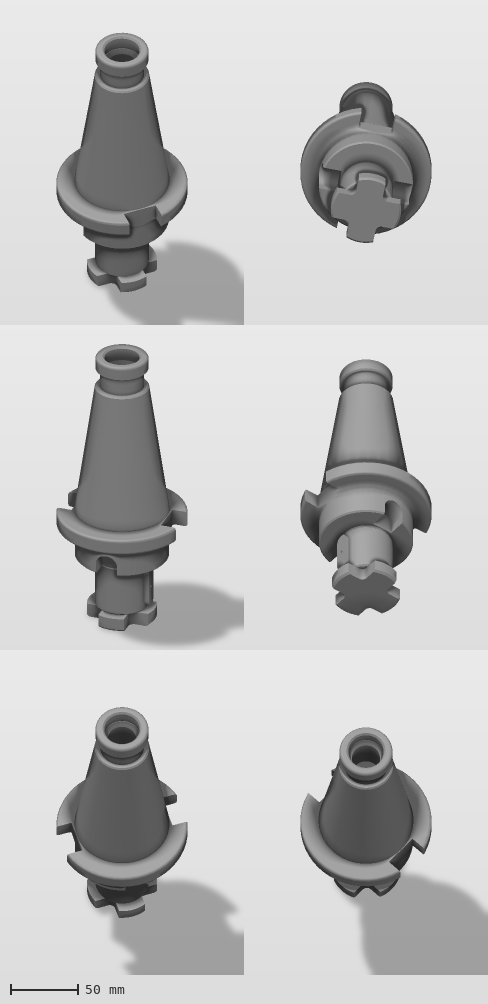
import cadquery as cq

TOTAL_HEIGHT = 218.8
SCREW_HEAD_TOP = 10.5
SPIGOT_TOP = 48.8
COLLAR_BOTTOM = 51.2
FLANGE_BOTTOM = 76.8
FLANGE_TOP = 88.8
TAPER_TOP = 194.0
NECK_TOP = 207.6

FLANGE_DIAMETER = 97.4
SPIGOT_RADIUS = 20.0
RELIEF_RADIUS = 19.3
COLLAR_RADIUS = 35.0
FLANGE_RADIUS = FLANGE_DIAMETER / 2
TAPER_BASE_RADIUS = 35.2
TAPER_GROOVE_RADIUS = 34.1
TAPER_GROOVE_HEIGHT = 0.9
TAPER_RIM_HEIGHT = 0.7
NECK_RADIUS = 16.5
HEAD_RADIUS = 19.7
TAPER_BOTTOM = FLANGE_TOP + TAPER_GROOVE_HEIGHT + TAPER_RIM_HEIGHT
TAPER_SLOPE = 3.5 / 24

FLANGE_FILLET = 2.0
COLLAR_FILLET = 5.5
COLLAR_CHAMFER = 1.0
SPIGOT_CHAMFER = 1.0
TAPER_CHAMFER = 1.0
HEAD_TOP_FILLET = 2.2
HEAD_BOTTOM_CHAMFER = 1.0
NECK_FILLET = 0.9

SOCKET_RADIUS = 13.1
SOCKET_DEPTH = 11.2
SOCKET_GROOVE_RADIUS = 13.8
SOCKET_GROOVE_HEIGHT = 1.3
SOCKET_CHAMFER = 1.3
THREAD_BORE_RADIUS = 10.5
SOCKET_CONE_HEIGHT = 3.0
THREAD_BORE_DEPTH = 43.8

FLANGE_SLOT_WIDTH = 25.5
FLANGE_SLOT_CLEARANCE = 0.2
COLLAR_SLOT_WIDTH = 16.6
COLLAR_SLOT_HEIGHT = 16.2

KEY_WIDTH = 10.3
KEY_LENGTH = 32.5
KEY_BOTTOM = 13.0
KEY_OUTER_X = -23.0
KEY_HOLE_DIAMETER = 2.5

SCREW_RADIUS = 26.0
SCREW_ARM_WIDTH = 20.1
SCREW_CORNER_FILLET = 4.2
SCREW_CHAMFER = 1.5


def taper_radius(height):
    return TAPER_BASE_RADIUS - TAPER_SLOPE * (height - TAPER_BOTTOM)


def turned_body():
    taper_edge = TAPER_TOP - TAPER_CHAMFER
    taper_edge_radius = taper_radius(taper_edge)
    outline = (
        cq.Workplane("XZ")
        .moveTo(0, SCREW_HEAD_TOP)
        .lineTo(SPIGOT_RADIUS - SPIGOT_CHAMFER, SCREW_HEAD_TOP)
        .lineTo(SPIGOT_RADIUS, SCREW_HEAD_TOP + SPIGOT_CHAMFER)
        .lineTo(SPIGOT_RADIUS, SPIGOT_TOP)
        .lineTo(RELIEF_RADIUS, SPIGOT_TOP + SPIGOT_RADIUS - RELIEF_RADIUS)
        .lineTo(RELIEF_RADIUS, COLLAR_BOTTOM)
        .lineTo(COLLAR_RADIUS - COLLAR_CHAMFER, COLLAR_BOTTOM)
        .lineTo(COLLAR_RADIUS, COLLAR_BOTTOM + COLLAR_CHAMFER)
        .lineTo(COLLAR_RADIUS, FLANGE_BOTTOM - COLLAR_FILLET)
        .tangentArcPoint((COLLAR_FILLET, COLLAR_FILLET))
        .lineTo(FLANGE_RADIUS - FLANGE_FILLET, FLANGE_BOTTOM)
        .tangentArcPoint((FLANGE_FILLET, FLANGE_FILLET))
        .lineTo(FLANGE_RADIUS, FLANGE_TOP - FLANGE_FILLET)
        .tangentArcPoint((-FLANGE_FILLET, FLANGE_FILLET))
        .lineTo(TAPER_GROOVE_RADIUS, FLANGE_TOP)
        .lineTo(TAPER_GROOVE_RADIUS, FLANGE_TOP + TAPER_GROOVE_HEIGHT)
        .lineTo(TAPER_BASE_RADIUS, FLANGE_TOP + TAPER_GROOVE_HEIGHT)
        .lineTo(TAPER_BASE_RADIUS, TAPER_BOTTOM)
        .lineTo(taper_edge_radius, taper_edge)
        .lineTo(taper_edge_radius - TAPER_CHAMFER, TAPER_TOP)
        .lineTo(NECK_RADIUS, TAPER_TOP)
        .lineTo(NECK_RADIUS, NECK_TOP - NECK_FILLET)
        .tangentArcPoint((NECK_FILLET, NECK_FILLET))
        .lineTo(HEAD_RADIUS - HEAD_BOTTOM_CHAMFER, NECK_TOP)
        .lineTo(HEAD_RADIUS, NECK_TOP + HEAD_BOTTOM_CHAMFER)
        .lineTo(HEAD_RADIUS, TOTAL_HEIGHT - HEAD_TOP_FILLET)
        .tangentArcPoint((-HEAD_TOP_FILLET, HEAD_TOP_FILLET))
        .lineTo(0, TOTAL_HEIGHT)
        .close()
    )
    return outline.revolve(360, (0, 0, 0), (0, 1, 0))


def draw_bar_socket():
    socket_floor = TOTAL_HEIGHT - SOCKET_DEPTH
    outline = (
        cq.Workplane("XZ")
        .moveTo(0, TOTAL_HEIGHT)
        .lineTo(SOCKET_RADIUS + SOCKET_CHAMFER, TOTAL_HEIGHT)
        .lineTo(SOCKET_RADIUS, TOTAL_HEIGHT - SOCKET_CHAMFER)
        .lineTo(SOCKET_RADIUS, socket_floor + SOCKET_GROOVE_HEIGHT)
        .lineTo(SOCKET_GROOVE_RADIUS, socket_floor + SOCKET_GROOVE_HEIGHT)
        .lineTo(SOCKET_GROOVE_RADIUS, socket_floor)
        .lineTo(SOCKET_RADIUS, socket_floor)
        .lineTo(THREAD_BORE_RADIUS, socket_floor - SOCKET_CONE_HEIGHT)
        .lineTo(THREAD_BORE_RADIUS, TOTAL_HEIGHT - THREAD_BORE_DEPTH)
        .lineTo(0, TOTAL_HEIGHT - THREAD_BORE_DEPTH)
        .close()
    )
    return outline.revolve(360, (0, 0, 0), (0, 1, 0))


def flange_slot(side):
    """Drive slot through the flange, its floor just clear of the collar; side is -1 or 1 along X."""
    floor_x = COLLAR_RADIUS + FLANGE_SLOT_CLEARANCE
    depth = FLANGE_RADIUS - floor_x
    height = FLANGE_TOP - FLANGE_BOTTOM + COLLAR_FILLET
    return (
        cq.Workplane("XY")
        .box(depth, FLANGE_SLOT_WIDTH, height, centered=(True, True, False))
        .translate((side * (floor_x + depth / 2), 0, FLANGE_BOTTOM - COLLAR_FILLET))
    )


def collar_slot(side):
    """Round-topped slot in the collar, its floor tangent to the spigot; side is -1 or 1 along Y."""
    half_width = COLLAR_SLOT_WIDTH / 2
    arch_start = COLLAR_BOTTOM + COLLAR_SLOT_HEIGHT - half_width
    return (
        cq.Workplane("XZ", origin=(0, side * SPIGOT_RADIUS, 0))
        .moveTo(-half_width, COLLAR_BOTTOM)
        .lineTo(half_width, COLLAR_BOTTOM)
        .lineTo(half_width, arch_start)
        .threePointArc((0, arch_start + half_width), (-half_width, arch_start))
        .close()
        .extrude(-side * (FLANGE_RADIUS - SPIGOT_RADIUS))
    )


def feather_key():
    return (
        cq.Workplane("YZ", origin=(KEY_OUTER_X, 0, KEY_BOTTOM + KEY_LENGTH / 2))
        .slot2D(KEY_LENGTH, KEY_WIDTH, 90)
        .extrude(SPIGOT_RADIUS)
    )


def key_hole():
    return (
        cq.Workplane("YZ", origin=(KEY_OUTER_X, 0, KEY_BOTTOM + KEY_LENGTH / 2))
        .circle(KEY_HOLE_DIAMETER / 2)
        .extrude(-KEY_OUTER_X - SPIGOT_RADIUS)
    )


def clamping_screw_head():
    disc = (
        cq.Workplane("XY")
        .circle(SCREW_RADIUS)
        .extrude(SCREW_HEAD_TOP)
        .faces("<Z")
        .chamfer(SCREW_CHAMFER)
    )
    arm_length = 2 * SCREW_RADIUS
    arms = (
        cq.Workplane("XY")
        .rect(arm_length, SCREW_ARM_WIDTH)
        .extrude(SCREW_HEAD_TOP)
        .union(cq.Workplane("XY").rect(SCREW_ARM_WIDTH, arm_length).extrude(SCREW_HEAD_TOP))
    )
    inner_corners = cq.selectors.BoxSelector(
        (-SCREW_ARM_WIDTH, -SCREW_ARM_WIDTH, 0),
        (SCREW_ARM_WIDTH, SCREW_ARM_WIDTH, SCREW_HEAD_TOP),
    )
    cross = arms.edges("|Z").edges(inner_corners).fillet(SCREW_CORNER_FILLET)
    return disc.intersect(cross)


result = turned_body().cut(draw_bar_socket())
for side in (-1, 1):
    result = result.cut(flange_slot(side)).cut(collar_slot(side))
result = result.union(feather_key()).cut(key_hole()).union(clamping_screw_head())